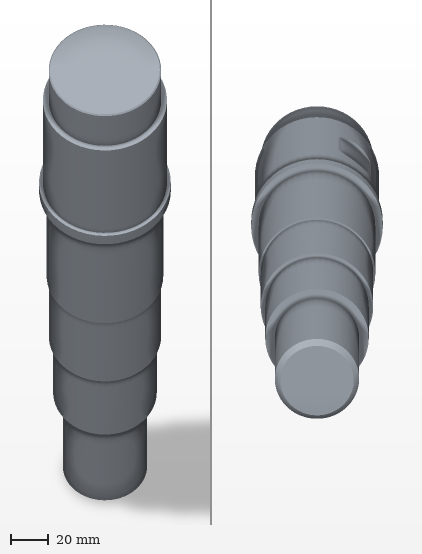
import cadquery as cq

SPIGOT_TOP = 70.0
LOWER_TOP = 122.0
MIDDLE_TOP = 176.5
COLLAR_BOTTOM = 254.5
COLLAR_TOP = 262.0
JOURNAL_TOP = 337.3
TOTAL_HEIGHT = 365

SPIGOT_DIAMETER = 45.0
LOWER_DIAMETER = 55.0
MIDDLE_DIAMETER = 60.0
BARREL_DIAMETER = 62
COLLAR_DIAMETER = 70.0
JOURNAL_DIAMETER = 66.0
CAP_DIAMETER = MIDDLE_DIAMETER

SPIGOT_CHAMFER = 3.0
CAP_CHAMFER = 0.7

RECESS_DIAMETER = 30.5
RECESS_DEPTH = (JOURNAL_DIAMETER - BARREL_DIAMETER) / 2
RECESS_Z = (COLLAR_TOP + JOURNAL_TOP) / 2


def rod(diameter, bottom, top):
    """Solid cylinder about Z between two heights."""
    return cq.Workplane("XY").workplane(offset=bottom).circle(diameter / 2).extrude(top - bottom)


def make_spigot():
    """Thin bottom section with a chamfered lower end."""
    return rod(SPIGOT_DIAMETER, 0, SPIGOT_TOP).faces("<Z").chamfer(SPIGOT_CHAMFER)


def make_journal():
    """Wide section with a shallow flat-bottomed round recess in its +Y side."""
    recess = (
        cq.Workplane("XZ", origin=(0, JOURNAL_DIAMETER / 2, RECESS_Z))
        .circle(RECESS_DIAMETER / 2)
        .extrude(RECESS_DEPTH)
    )
    return rod(JOURNAL_DIAMETER, COLLAR_TOP, JOURNAL_TOP).cut(recess)


def make_cap():
    """Top section with a finely chamfered upper rim."""
    return rod(CAP_DIAMETER, JOURNAL_TOP, TOTAL_HEIGHT).faces(">Z").chamfer(CAP_CHAMFER)


spigot = make_spigot()
lower_section = rod(LOWER_DIAMETER, SPIGOT_TOP, LOWER_TOP)
middle_section = rod(MIDDLE_DIAMETER, LOWER_TOP, MIDDLE_TOP)
barrel = rod(BARREL_DIAMETER, MIDDLE_TOP, COLLAR_BOTTOM)
collar = rod(COLLAR_DIAMETER, COLLAR_BOTTOM, COLLAR_TOP)
journal = make_journal()
cap = make_cap()

result = cq.Compound.makeCompound([
    spigot.val(),
    lower_section.val(),
    middle_section.val(),
    barrel.val(),
    collar.val(),
    journal.val(),
    cap.val(),
])